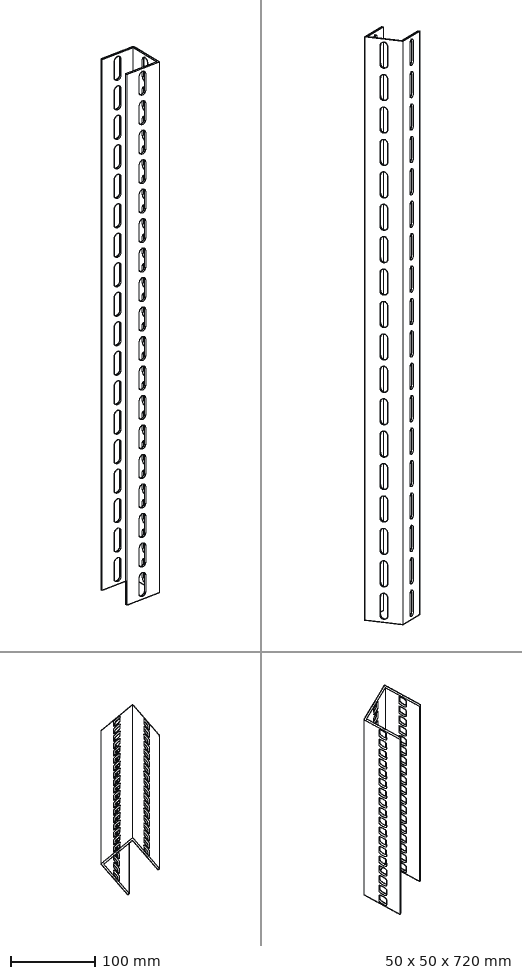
import cadquery as cq

length = 720.0
width = 50.0
depth = 50.0
thickness = 2.5

slot_count = 18
slot_pitch = length / slot_count
slot_gap = 8.0
slot_length = slot_pitch - slot_gap
slot_width = 10.0

flange_slot_y = -thickness / 2


def make_channel():
    """Upright U-shaped channel centred on the origin, open toward -Y."""
    outer = cq.Workplane("XY").box(width, depth, length)
    inner = cq.Workplane("XY").box(width - 2 * thickness, depth, length)
    return outer.cut(inner.translate((0, -thickness, 0)))


def slot_row(plane, across):
    """Row of upright round-ended cutters through the whole channel, shifted sideways by 'across'."""
    lowest = -length / 2 + slot_pitch / 2
    centres = [(across, lowest + i * slot_pitch) for i in range(slot_count)]
    return (
        cq.Workplane(plane)
        .pushPoints(centres)
        .slot2D(slot_length, slot_width, 90)
        .extrude(max(width, depth), both=True)
    )


web_slots = slot_row("XZ", 0)
flange_slots = slot_row("YZ", flange_slot_y)

result = make_channel().cut(web_slots).cut(flange_slots)